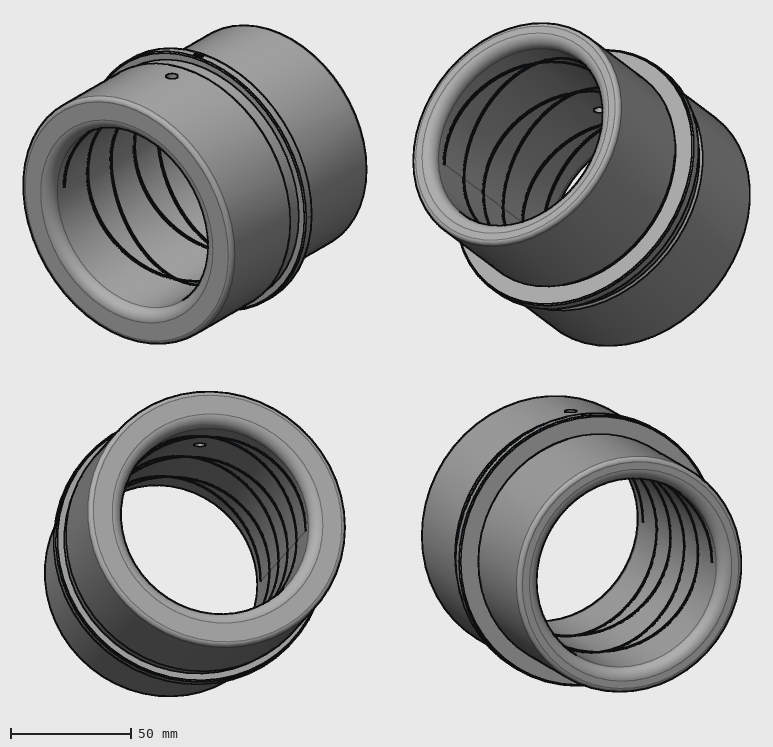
import cadquery as cq
import math

length = 100.0
flange_radius = 57.5
front_radius = 55.0
land_radius = 54.0
rear_radius = 50.0
neck_radius = 49.0
bore_radius = 40.0

front_y = -length / 2
rear_y = length / 2
front_cylinder_end = -10.0
land_start = -8.9
flange_front = -3.0
flange_rear = 2.0
neck_end = 2.9
rear_cylinder_start = 4.1

outer_edge_radius = 2.0
mouth_radius = 5.0
flange_chamfer = 0.6

oil_hole_diameter = 5.1
oil_hole_y = -19.0

screw_diameter = 3.2
screw_mouth_diameter = 4.1
screw_recess = 0.7
hex_across_corners = 1.7
hex_depth = 1.4

groove_width = 0.9
groove_depth = 0.5
half_turns = 5
half_turn_advance = 16.0


def make_body():
    """Revolve the outer steps and the rounded bore about the Y axis."""
    corner = outer_edge_radius * (1 - math.sqrt(0.5))
    mouth_corner = mouth_radius * (1 - math.sqrt(0.5))
    mouth_outer = bore_radius + mouth_radius
    profile = (
        cq.Workplane("XY")
        .moveTo(mouth_outer, front_y)
        .lineTo(front_radius - outer_edge_radius, front_y)
        .threePointArc((front_radius - corner, front_y + corner), (front_radius, front_y + outer_edge_radius))
        .lineTo(front_radius, front_cylinder_end)
        .lineTo(land_radius, land_start)
        .lineTo(land_radius, flange_front)
        .lineTo(flange_radius - flange_chamfer, flange_front)
        .lineTo(flange_radius, flange_front + flange_chamfer)
        .lineTo(flange_radius, flange_rear - flange_chamfer)
        .lineTo(flange_radius - flange_chamfer, flange_rear)
        .lineTo(neck_radius, flange_rear)
        .lineTo(neck_radius, neck_end)
        .lineTo(rear_radius, rear_cylinder_start)
        .lineTo(rear_radius, rear_y - outer_edge_radius)
        .threePointArc((rear_radius - corner, rear_y - corner), (rear_radius - outer_edge_radius, rear_y))
        .lineTo(mouth_outer, rear_y)
        .threePointArc((bore_radius + mouth_corner, rear_y - mouth_corner), (bore_radius, rear_y - mouth_radius))
        .lineTo(bore_radius, front_y + mouth_radius)
        .threePointArc((bore_radius + mouth_corner, front_y + mouth_corner), (mouth_outer, front_y))
        .close()
    )
    return profile.revolve(360, (0, 0, 0), (0, 1, 0))


def make_oil_hole():
    """A vertical hole from the bore out through the top of the front cylinder."""
    return (
        cq.Workplane("XY")
        .center(0, oil_hole_y)
        .circle(oil_hole_diameter / 2)
        .extrude(flange_radius)
    )


def make_screw_recess():
    """The conical recess above the set screw, with the hexagon socket in the screw's face."""
    middle_y = (flange_front + flange_rear) / 2
    recess = (
        cq.Workplane("XZ", origin=(0, middle_y, flange_radius))
        .lineTo(screw_mouth_diameter / 2, 0)
        .lineTo(screw_diameter / 2, -screw_recess)
        .lineTo(0, -screw_recess)
        .close()
        .revolve(360, (0, 0, 0), (0, 1, 0))
    )
    hexagon = (
        cq.Workplane("XY", origin=(0, middle_y, flange_radius))
        .polygon(6, hex_across_corners)
        .extrude(-screw_recess - hex_depth)
    )
    return recess.union(hexagon)


def make_tilted_slabs(ring_y):
    """Two plates that cross at the middle of the half rings, tilted opposite ways."""
    tilt = math.degrees(math.atan2(half_turn_advance / 2, bore_radius))
    slabs = cq.Workplane("XY")
    for slope_sign in (1, -1):
        slab = (
            cq.Workplane("XY")
            .box(3 * flange_radius, groove_width, 3 * flange_radius)
            .rotate((0, 0, 0), (0, 0, 1), slope_sign * tilt)
            .translate((0, ring_y, 0))
        )
        slabs = slabs.add(slab)
    return slabs.combine()


def make_half_grooves(side):
    """All half rings above (+1) or below (-1) the axis, cut from one half of a thin shell."""
    shell = (
        cq.Workplane("XY")
        .center(bore_radius, 0)
        .rect(2 * groove_depth, length)
        .revolve(180, (-bore_radius, 0, 0), (-bore_radius, -side, 0))
    )
    grooves = cq.Workplane("XY")
    for turn in range(half_turns):
        turn_side = 1 if turn % 2 == 0 else -1
        if turn_side == side:
            ring_y = (turn - (half_turns - 1) / 2) * half_turn_advance
            grooves = grooves.add(shell.intersect(make_tilted_slabs(ring_y)))
    return grooves.combine()


bushing = make_body().cut(make_oil_hole()).cut(make_screw_recess())
grooved = bushing.val().cut(make_half_grooves(1).val(), make_half_grooves(-1).val())
result = cq.Workplane(grooved).solids()